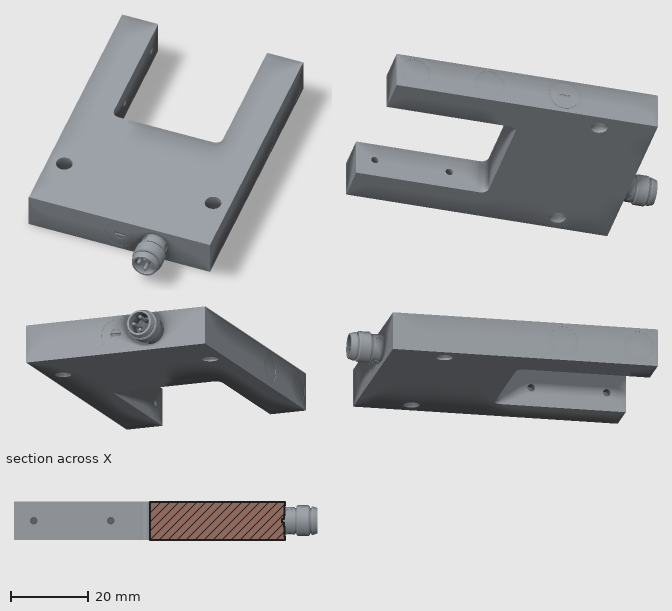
import cadquery as cq
import math

overall_length = 78.5
body_width = 49.9
body_length = 70.0
body_thickness = 10.0
left_face = -body_width / 2

prong_width = 10.0
gap_depth = 35.0
gap_width = body_width - 2 * prong_width
gap_corner_radius = 2.0

mount_hole_diameter = 4.3
mount_hole_spacing = 41.0
mount_hole_offset = 14.5

beam_offsets = (5.0, 25.0)
beam_hole_diameter = 2.0
beam_hole_depth = 2.5
cap_diameter = 8.1
cap_recess = 0.1

window_tip_offset = 45.0
window_diameter = 7.7
window_height = 0.15
window_slot_length = 2.75
window_slot_width = 0.6
window_slot_depth = 0.15

screw_diameter = 3.1
screw_recess = 0.15
screw_slot_width = 0.8
screw_slot_depth = 0.5

connector_x = 9.9
connector_length = overall_length - body_length
collar_radius = 3.5
collar_end = 2.6
neck_radius = 3.3
nut_radius = 4.0
nut_start = 3.0
nut_end = 6.4
nut_chamfer = 0.3
flange_radius = 3.7
flange_start = 6.8
flange_end = 7.2
tip_radius = 3.3
socket_radius = 2.8
socket_depth = 5.5
pin_radius = 0.5
pin_tip_round = 0.4
pin_circle_radius = 1.7
pin_length = 5.1
pin_angles = (90, 180, 270)
dimple_angles = (15, 135, 255)
dimple_diameter = 1.8
dimple_offset = 1.2
dimple_floor_radius = 3.3


def cylinder(start, direction, diameter, length):
    """Solid cylinder running from a start point along a direction."""
    return cq.Workplane(cq.Solid.makeCylinder(diameter / 2, length, cq.Vector(*start), cq.Vector(*direction)))


def make_body():
    body = cq.Workplane("XY").box(body_width, body_length, body_thickness, centered=(True, False, True))
    gap = (
        cq.Workplane("XY")
        .box(gap_width, gap_depth, body_thickness, centered=(True, False, True))
        .translate((0, body_length - gap_depth, 0))
        .edges("|Z and <Y")
        .fillet(gap_corner_radius)
    )
    body = body.cut(gap)
    for side in (-1, 1):
        start = (side * mount_hole_spacing / 2, mount_hole_offset, -body_thickness / 2)
        body = body.cut(cylinder(start, (0, 0, 1), mount_hole_diameter, body_thickness))
    return body


def cut_beams(body):
    """Beam holes on the inner prong faces and cap recesses on the outer ones."""
    for side in (-1, 1):
        for offset in beam_offsets:
            y = body_length - offset
            hole_start = (side * gap_width / 2, y, 0)
            cap_start = (side * body_width / 2, y, 0)
            body = body.cut(cylinder(hole_start, (side, 0, 0), beam_hole_diameter, beam_hole_depth))
            body = body.cut(cylinder(cap_start, (-side, 0, 0), cap_diameter, cap_recess))
    return body


def add_window(body):
    y = body_length - window_tip_offset
    window = cylinder((left_face, y, 0), (-1, 0, 0), window_diameter, window_height)
    slot = cq.Workplane("XY").box(2 * window_slot_depth, window_slot_length, window_slot_width)
    return body.union(window).cut(slot.translate((left_face - window_height, y, 0)))


def cut_adjuster(body):
    """Shallow rear cap holding a sunken screw head with a horizontal slot."""
    head_y = cap_recess + screw_recess
    cap = cylinder((0, 0, 0), (0, 1, 0), cap_diameter, cap_recess)
    head = cylinder((0, 0, 0), (0, 1, 0), screw_diameter, head_y)
    slot = cylinder((0, head_y, 0), (0, 1, 0), screw_diameter, screw_slot_depth).intersect(
        cq.Workplane("XY").box(screw_diameter, body_length, screw_slot_width)
    )
    return body.cut(cap).cut(head).cut(slot)


def make_connector():
    """Turned plug with a socket and three pins, built along +Z from its base."""
    plug = (
        cq.Workplane("XZ")
        .moveTo(0, 0)
        .lineTo(collar_radius, 0)
        .lineTo(collar_radius, collar_end)
        .lineTo(neck_radius, collar_end)
        .lineTo(neck_radius, nut_start)
        .lineTo(nut_radius - nut_chamfer, nut_start)
        .lineTo(nut_radius, nut_start + nut_chamfer)
        .lineTo(nut_radius, nut_end - nut_chamfer)
        .lineTo(nut_radius - nut_chamfer, nut_end)
        .lineTo(neck_radius, nut_end)
        .lineTo(neck_radius, flange_start)
        .lineTo(flange_radius, flange_start)
        .lineTo(flange_radius, flange_end)
        .lineTo(tip_radius, connector_length)
        .lineTo(socket_radius, connector_length)
        .lineTo(socket_radius, connector_length - socket_depth)
        .lineTo(0, connector_length - socket_depth)
        .close()
        .revolve(360, (0, 0, 0), (0, 1, 0))
    )
    pin = (
        cq.Workplane("XY", origin=(0, 0, connector_length - socket_depth))
        .circle(pin_radius)
        .extrude(pin_length)
        .faces(">Z")
        .fillet(pin_tip_round)
    )
    for angle in pin_angles:
        x = pin_circle_radius * math.cos(math.radians(angle))
        y = pin_circle_radius * math.sin(math.radians(angle))
        plug = plug.union(pin.translate((x, y, 0)))

    for angle in dimple_angles:
        outward_x = math.cos(math.radians(angle))
        outward_y = math.sin(math.radians(angle))
        floor = (dimple_floor_radius * outward_x, dimple_floor_radius * outward_y, dimple_offset)
        plug = plug.cut(cylinder(floor, (outward_x, outward_y, 0), dimple_diameter, collar_radius))
    return plug


connector = make_connector().rotate((0, 0, 0), (1, 0, 0), 90).translate((connector_x, 0, 0))
housing = cut_adjuster(add_window(cut_beams(make_body())))
result = housing.union(connector)